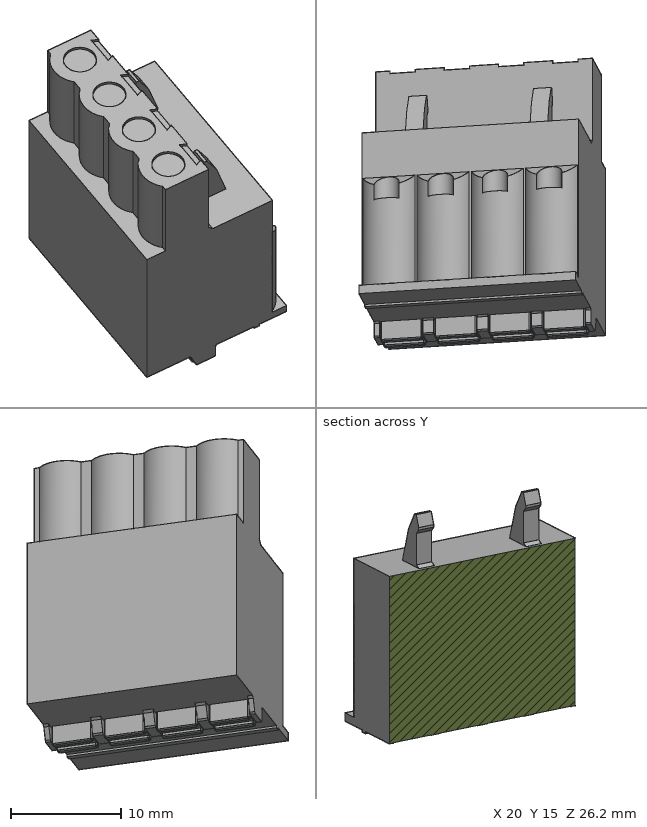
import cadquery as cq
import math


pole_count = 4
width = 20.0
pitch = width / pole_count
depth = 15.0
total_height = 26.25
tooth_drop = 1.85
top_z = total_height - tooth_drop
pole_centers = [(i + 0.5) * pitch for i in range(pole_count)]

body_back = 13.5
body_height = 16.06
flange_height = 0.81

lobe_apex = 14.94
lobe_half_width = 2.4
lobe_slope_start = 11.65
lobe_slope_angle = 43
recess_center_y = 14.7
recess_radius = 1.15
recess_floor = 9.1

head_front = 2.0
head_back = 6.65
head_foot_chamfer = 0.42
head_bulge_front = 1.15
head_bulge_half_width = 2.0
hole_center_y = 3.88
hole_radius = 1.5
hole_depth = 0.25
notch_depth_y = 0.63
notch_mouth_half_width = 1.15
notch_floor_half_width = 1.45
notch_depth_z = 0.25

latch_width = 1.63
latch_inset = 3.45
latch_tip_z = 21.1

rib_drop = 1.5
rib_front_low = 5.3
rib_back = 7.38
tooth_half_width = 1.92
slot_clearance = 0.092
slot_half_width = tooth_half_width + slot_clearance
tooth_bevel = 0.1
lip_thickness = 0.6
strip_front = 11.52
strip_width = 0.55
strip_drop = 0.2

overlap = 0.25


def box(x0, x1, y0, y1, z0, z1):
    """Box between the given limits."""
    return cq.Workplane("XY").box(x1 - x0, y1 - y0, z1 - z0, centered=False).translate((x0, y0, z0))


def extrude_along_x(profile, x_start, length):
    """Extrude a closed (y, z) polygon along +X."""
    return cq.Workplane("YZ", origin=(x_start, 0, 0)).polyline(profile).close().extrude(length)


def make_body():
    block = box(0, width, 0, body_back, 0, body_height)
    flange = box(0, width, 0, depth, 0, flange_height)
    strip = box(0, width, strip_front, strip_front + strip_width, -strip_drop, overlap)
    return block.union(flange).union(strip)


def make_lobe(center_x):
    """Vertical rounded bulge on the back face, sloped and recessed at its top."""
    lobe = (
        cq.Workplane("XY")
        .moveTo(center_x - lobe_half_width, body_back)
        .threePointArc((center_x, lobe_apex), (center_x + lobe_half_width, body_back))
        .lineTo(center_x + lobe_half_width, body_back - overlap)
        .lineTo(center_x - lobe_half_width, body_back - overlap)
        .close()
        .extrude(lobe_slope_start)
    )
    slope_run = depth - body_back + overlap
    slope_drop = slope_run * math.tan(math.radians(lobe_slope_angle))
    slope_cutter = extrude_along_x(
        [
            (body_back, lobe_slope_start),
            (body_back + slope_run, lobe_slope_start),
            (body_back + slope_run, lobe_slope_start - slope_drop),
        ],
        center_x - pitch / 2,
        pitch,
    )
    recess = (
        cq.Workplane("XY", origin=(center_x, recess_center_y, recess_floor))
        .circle(recess_radius)
        .extrude(lobe_slope_start - recess_floor)
    )
    return lobe.cut(slope_cutter).cut(recess)


def make_head():
    """Block with one rounded bulge per pole on its front and a chamfer along its rear foot."""
    outline = cq.Workplane("XY", origin=(0, 0, body_height)).moveTo(0, head_back).lineTo(0, head_front)
    for x in pole_centers:
        outline = outline.lineTo(x - head_bulge_half_width, head_front).threePointArc(
            (x, head_bulge_front), (x + head_bulge_half_width, head_front)
        )
    head = outline.lineTo(width, head_front).lineTo(width, head_back).close().extrude(top_z - body_height)
    foot = extrude_along_x(
        [
            (head_back - overlap, body_height),
            (head_back + head_foot_chamfer, body_height),
            (head_back, body_height + head_foot_chamfer),
            (head_back - overlap, body_height + head_foot_chamfer),
        ],
        0,
        width,
    )
    return head.union(foot)


def make_head_recess(center_x):
    """Shallow round screw opening and dovetail notch in the top of the head."""
    hole = (
        cq.Workplane("XY", origin=(center_x, hole_center_y, top_z - hole_depth))
        .circle(hole_radius)
        .extrude(hole_depth)
    )
    notch_floor_y = head_back - notch_depth_y
    notch = (
        cq.Workplane("XY", origin=(center_x, 0, top_z - notch_depth_z))
        .polyline(
            [
                (-notch_mouth_half_width, head_back),
                (notch_mouth_half_width, head_back),
                (notch_floor_half_width, notch_floor_y),
                (-notch_floor_half_width, notch_floor_y),
            ]
        )
        .close()
        .extrude(notch_depth_z)
    )
    return hole.union(notch)


def make_latch(x_start):
    """Hooked arm standing on the top face, with its barb towards the head."""
    profile = [
        (10.65, body_height - overlap),
        (10.65, body_height),
        (9.7, 19.14),
        (9.6, 19.42),
        (8.6, latch_tip_z),
        (8.32, latch_tip_z),
        (7.9, 19.98),
        (7.9, 19.75),
        (8.27, 19.32),
        (8.27, 16.3),
        (7.82, body_height),
        (7.82, body_height - overlap),
    ]
    return extrude_along_x(profile, x_start, latch_width)


def make_rib():
    """Tapered rib under the body, slotted at each pole for the terminal teeth."""
    profile = [
        (7.53, 0),
        (rib_back, -0.15),
        (rib_back, -1.36),
        (7.25, -rib_drop),
        (5.38, -rib_drop),
        (5.25, -1.35),
        (4.8, -0.2),
        (4.6, 0),
    ]
    rib = extrude_along_x(profile, 0, width)
    for x in pole_centers:
        rib = rib.cut(box(x - slot_half_width, x + slot_half_width, 0, depth, -tooth_drop, 0))
    return rib


def make_tooth(center_x):
    """Terminal block hanging in a slot of the rib, with bevelled lips along its front and back edges."""
    x0 = center_x - tooth_half_width
    x1 = center_x + tooth_half_width
    tooth = box(x0, x1, rib_front_low, rib_back, -tooth_drop, overlap)
    gap = box(x0, x1, rib_front_low + lip_thickness, rib_back - lip_thickness, -tooth_drop, -rib_drop)
    return tooth.cut(gap).edges("|Z").chamfer(tooth_bevel).faces("<Z").edges().chamfer(tooth_bevel)


result = make_body().union(make_head()).union(make_rib())
for x in pole_centers:
    result = result.union(make_lobe(x)).union(make_tooth(x)).cut(make_head_recess(x))
for latch_x in (latch_inset, width - latch_inset - latch_width):
    result = result.union(make_latch(latch_x))